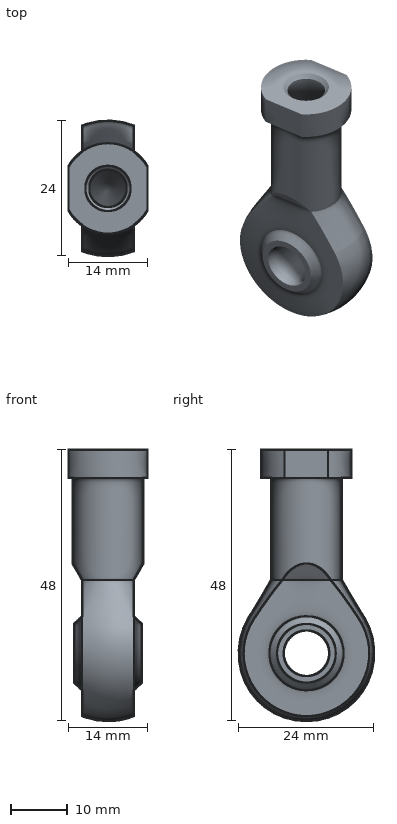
import cadquery as cq
import math

total_height = 48.0

eye_radius = 12.0
eye_thickness = 9.1
eye_center_z = eye_radius

shank_radius = 6.25
shank_bottom_z = 24.95
shoulder_angle = 60.0

flange_diameter = 16.0
flange_height = 5.0
flange_across_flats = 14.0

bore_diameter = 6.6
bore_mouth_diameter = 8.0
bore_depth = 20.0
drill_point_angle = 118.0

insert_length = 12.0
insert_base_diameter = 13.1
insert_face_diameter = 10.35
pin_hole_diameter = 8.0


def make_eye_and_shank():
    """Revolve the sphere, the cone tangent to it, and the shank about Z."""
    rise = shank_bottom_z - eye_center_z
    distance = math.hypot(shank_radius, rise)
    tangent_angle = math.atan2(rise, shank_radius) - math.acos(eye_radius / distance)
    tangent_point = (
        eye_radius * math.cos(tangent_angle),
        eye_center_z + eye_radius * math.sin(tangent_angle),
    )
    return (
        cq.Workplane("XZ")
        .moveTo(0, 0)
        .threePointArc(
            (eye_radius * math.sqrt(0.5), eye_center_z - eye_radius * math.sqrt(0.5)),
            tangent_point,
        )
        .lineTo(shank_radius, shank_bottom_z)
        .lineTo(shank_radius, total_height)
        .lineTo(0, total_height)
        .close()
        .revolve(360, (0, 0, 0), (0, 1, 0))
    )


def make_side_cutter(side):
    """Prism that leaves the eye flat and the sloped shoulder on one X side."""
    half_thickness = eye_thickness / 2
    reach = 2 * eye_radius
    shoulder_rise = (reach - half_thickness) * math.tan(math.radians(shoulder_angle))
    return (
        cq.Workplane("XZ")
        .polyline([
            (side * half_thickness, -reach),
            (side * half_thickness, shank_bottom_z),
            (side * reach, shank_bottom_z + shoulder_rise),
            (side * reach, -reach),
        ])
        .close()
        .extrude(eye_radius * 2, both=True)
    )


def make_flange():
    blank = cq.Workplane("XY").circle(flange_diameter / 2).extrude(flange_height)
    flats = cq.Workplane("XY").rect(flange_across_flats, flange_diameter).extrude(flange_height)
    return blank.intersect(flats).translate((0, 0, total_height - flange_height))


def make_bore():
    """Drilled hole with a conical bottom and a 45 degree chamfer at its mouth."""
    radius = bore_diameter / 2
    mouth_radius = bore_mouth_diameter / 2
    bottom_z = total_height - bore_depth
    point_height = radius / math.tan(math.radians(drill_point_angle / 2))
    return (
        cq.Workplane("XZ")
        .polyline([
            (0, bottom_z - point_height),
            (radius, bottom_z),
            (radius, total_height - (mouth_radius - radius)),
            (mouth_radius, total_height),
            (0, total_height),
        ])
        .close()
        .revolve(360, (0, 0, 0), (0, 1, 0))
    )


def make_insert():
    """Bearing insert along X, tapered where it stands out of the eye."""
    half_thickness = eye_thickness / 2
    half_length = insert_length / 2
    base_radius = insert_base_diameter / 2
    face_radius = insert_face_diameter / 2
    return (
        cq.Workplane("XY")
        .polyline([
            (-half_length, 0),
            (-half_length, face_radius),
            (-half_thickness, base_radius),
            (half_thickness, base_radius),
            (half_length, face_radius),
            (half_length, 0),
        ])
        .close()
        .revolve(360, (0, 0, 0), (1, 0, 0))
        .translate((0, 0, eye_center_z))
    )


body = make_eye_and_shank()
for side in (-1, 1):
    body = body.cut(make_side_cutter(side))

pin_hole = (
    cq.Workplane("YZ")
    .center(0, eye_center_z)
    .circle(pin_hole_diameter / 2)
    .extrude(insert_length, both=True)
)

result = body.union(make_flange()).union(make_insert()).cut(make_bore()).cut(pin_hole)